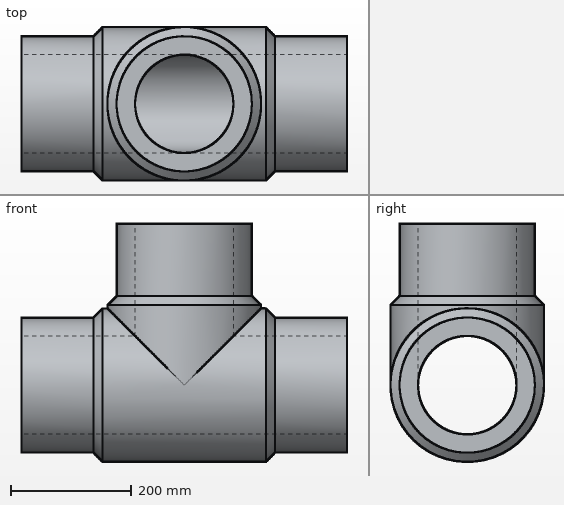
import cadquery as cq

run_length = 542.0
branch_height = 268.5
bore_diameter = 163.4
pipe_diameter = 225.0
body_diameter = 255.8
spigot_length = 120.0

bore_radius = bore_diameter / 2
pipe_radius = pipe_diameter / 2
body_radius = body_diameter / 2
bevel = body_radius - pipe_radius


def make_arm(plane_name, length):
    """Solid arm from the origin: thick body, bevelled shoulder, plain spigot."""
    body = (
        cq.Workplane(plane_name)
        .circle(body_radius)
        .extrude(length - spigot_length)
        .faces(">X" if plane_name == "YZ" else ">Z")
        .chamfer(bevel)
    )
    spigot = cq.Workplane(plane_name).circle(pipe_radius).extrude(length)
    return body.union(spigot)


def make_run():
    """Solid run, made of two mirrored arms."""
    half = make_arm("YZ", run_length / 2)
    return half.union(half.mirror("YZ"))


def make_branch():
    """Solid branch standing on the run axis."""
    return make_arm("XY", branch_height)


def make_passage():
    """Tee-shaped passage: straight through the run and up the branch."""
    run_bore = cq.Workplane("YZ").circle(bore_radius).extrude(run_length / 2, both=True)
    branch_bore = cq.Workplane("XY").circle(bore_radius).extrude(branch_height)
    return run_bore.union(branch_bore)


tee = make_run().union(make_branch()).clean().cut(make_passage())
result = cq.Workplane(tee.solids().val())